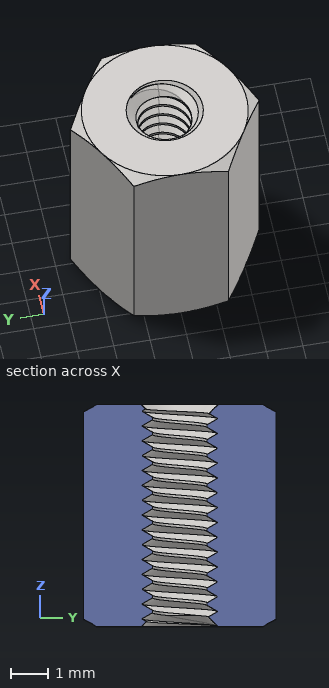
import cadquery as cq
import math

hexagon_sides = 6
half_side_angle = 180 / hexagon_sides
across_flats = 4.5
across_corners = across_flats / math.cos(math.radians(half_side_angle))
height = 6.0
corner_chamfer_angle = 30.0

bore_radius = 0.73
thread_root_radius = 1.012
thread_pitch = 0.4
thread_half_angle = 30.0
countersink_radius = 1.04
countersink_depth = countersink_radius - bore_radius

root_drop_at_top = 0.086
groove_overlap = 0.03
run_out_turns = 2


def hexagon_body():
    """Hexagonal prism standing on Z = 0, corners on the Y axis, corners chamfered at both ends."""
    prism = (
        cq.Workplane("XY")
        .polygon(hexagon_sides, across_corners)
        .extrude(height)
        .rotate((0, 0, 0), (0, 0, 1), half_side_angle)
    )
    face_radius = across_flats / 2
    slope = math.tan(math.radians(corner_chamfer_angle))
    envelope_radius = across_corners
    chamfer_drop = (envelope_radius - face_radius) * slope
    envelope = (
        cq.Workplane("XZ")
        .moveTo(0, 0)
        .lineTo(face_radius, 0)
        .lineTo(envelope_radius, chamfer_drop)
        .lineTo(envelope_radius, height - chamfer_drop)
        .lineTo(face_radius, height)
        .lineTo(0, height)
        .close()
        .revolve(360, (0, 0, 0), (0, 1, 0))
    )
    return prism.intersect(envelope)


def countersunk_bore():
    """Through bore with a countersink at each end, as a solid to cut away."""
    return (
        cq.Workplane("XZ")
        .moveTo(0, 0)
        .lineTo(countersink_radius, 0)
        .lineTo(bore_radius, countersink_depth)
        .lineTo(bore_radius, height - countersink_depth)
        .lineTo(countersink_radius, height)
        .lineTo(0, height)
        .close()
        .revolve(360, (0, 0, 0), (0, 1, 0))
    )


def groove_turn(start_z):
    """One full right-handed turn of the V groove, its root starting at start_z on the +X side."""
    inner_radius = bore_radius - groove_overlap
    half_width = (thread_root_radius - inner_radius) * math.tan(math.radians(thread_half_angle))
    path = cq.Wire.makeHelix(thread_pitch, thread_pitch, bore_radius, center=cq.Vector(0, 0, start_z))
    return (
        cq.Workplane("XZ")
        .moveTo(inner_radius, start_z - half_width)
        .lineTo(thread_root_radius, start_z)
        .lineTo(inner_radius, start_z + half_width)
        .close()
        .sweep(cq.Workplane(path), isFrenet=True)
    )


def cut_thread(body):
    """Cut the groove turn by turn from above the top face to below the bottom face."""
    top_turn_start = height - root_drop_at_top
    turn_count = math.ceil(height / thread_pitch) + run_out_turns
    for turn in range(turn_count):
        body = body.cut(groove_turn(top_turn_start - turn * thread_pitch))
    return body


result = cut_thread(hexagon_body().cut(countersunk_bore()))